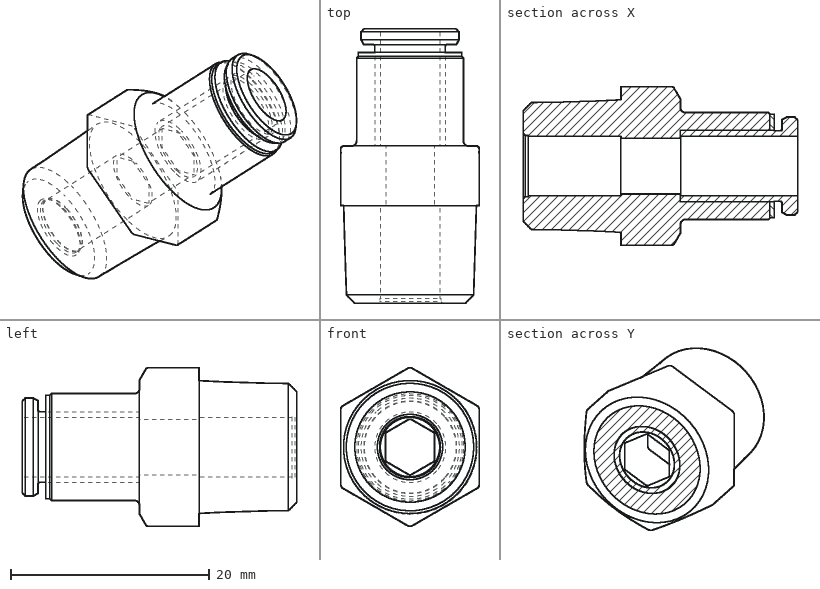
import cadquery as cq
import math

TOTAL_LENGTH = 27.72

HEX_ACROSS_FLATS = 14.0
HEX_FRONT_Y = 9.87
HEX_REAR_Y = 15.88
HEX_CORNER_RADIUS = 0.5
HEX_REAR_FACE_RADIUS = 6.75
HEX_CHAMFER_ANGLE = 30.0
HEX_CHAMFER_EDGE_RADIUS = 0.28
BOSS_RADIUS = 5.4
BOSS_END_Y = 24.92
BOSS_ROOT_RADIUS = 0.5
BOSS_END_CHAMFER = 0.17

THREAD_TIP_RADIUS = 6.43
THREAD_TIP_CHAMFER = 0.85
THREAD_RADIUS_SLOPE = 1 / 32

BORE_RADIUS = 3.0
BORE_LAND_RADIUS = 3.08
BORE_LAND_DEPTH = 0.5
BORE_MOUTH_CHAMFER = 0.22
KEY_ACROSS_FLATS = 4.93
KEY_CORNER_RADIUS = 0.3

RING_RADIUS = BOSS_RADIUS - BOSS_END_CHAMFER
RING_THICKNESS = 0.42

SLEEVE_STEM_RADIUS = 3.58
SLEEVE_FLANGE_RADIUS = 4.95
SLEEVE_FLANGE_THICKNESS = 1.6
FLANGE_END_CHAMFER = 0.33
FLANGE_UNDERSIDE_CHAMFER_HEIGHT = 0.5
FLANGE_UNDERSIDE_CHAMFER_WIDTH = 0.28
FLANGE_ROOT_RADIUS = 0.17


def plane_at(y):
    """Workplane across the axis at the given Y, extruding toward +Y."""
    return cq.Workplane("XZ", origin=(0, y, 0)).transformed(rotate=(180, 0, 0))


def cylinder(radius, start_y, end_y):
    """Solid round bar on the axis."""
    return plane_at(start_y).circle(radius).extrude(end_y - start_y)


def hex_prism(across_flats, corner_radius, start_y, end_y):
    """Hexagonal prism with corners at +Z and -Z and rounded long edges."""
    corner_diameter = across_flats / math.cos(math.radians(30))
    prism = plane_at(start_y).transformed(rotate=(0, 0, 90)).polygon(6, corner_diameter)
    return prism.extrude(end_y - start_y).edges("|Y").fillet(corner_radius)


def turned(points):
    """Solid of revolution about Y from (radius, Y) points."""
    return cq.Workplane("XY").polyline(points).close().revolve(360, (0, 0, 0), (0, 1, 0))


def make_hexagon():
    """Wrench hexagon with a turned rear chamfer whose edges are softened."""
    cone_base_radius = HEX_ACROSS_FLATS
    cone_drop = (cone_base_radius - HEX_REAR_FACE_RADIUS) * math.tan(math.radians(HEX_CHAMFER_ANGLE))
    chamfer_limit = turned([
        (0, 0),
        (cone_base_radius, 0),
        (cone_base_radius, HEX_REAR_Y - cone_drop),
        (HEX_REAR_FACE_RADIUS, HEX_REAR_Y),
        (0, HEX_REAR_Y),
    ])
    prism = hex_prism(HEX_ACROSS_FLATS, HEX_CORNER_RADIUS, HEX_FRONT_Y, HEX_REAR_Y)
    hexagon = prism.intersect(chamfer_limit)
    chamfer_edges = hexagon.faces("%CONE").edges("not %CIRCLE")
    return chamfer_edges.fillet(HEX_CHAMFER_EDGE_RADIUS)


def make_thread():
    """Plain cone of the taper thread with a chamfered tip."""
    base_radius = THREAD_TIP_RADIUS + (HEX_FRONT_Y - THREAD_TIP_CHAMFER) * THREAD_RADIUS_SLOPE
    return turned([
        (0, 0),
        (THREAD_TIP_RADIUS - THREAD_TIP_CHAMFER, 0),
        (THREAD_TIP_RADIUS, THREAD_TIP_CHAMFER),
        (base_radius, HEX_FRONT_Y),
        (0, HEX_FRONT_Y),
    ])


def make_boss():
    """Smooth barrel behind the hexagon, with a concave round at its root."""
    root_outer_radius = BOSS_RADIUS + BOSS_ROOT_RADIUS
    root_top_y = HEX_REAR_Y + BOSS_ROOT_RADIUS
    arc_offset = BOSS_ROOT_RADIUS * (1 - math.sqrt(0.5))
    return (
        cq.Workplane("XY")
        .moveTo(0, HEX_REAR_Y)
        .lineTo(root_outer_radius, HEX_REAR_Y)
        .threePointArc((BOSS_RADIUS + arc_offset, HEX_REAR_Y + arc_offset), (BOSS_RADIUS, root_top_y))
        .lineTo(BOSS_RADIUS, BOSS_END_Y - BOSS_END_CHAMFER)
        .lineTo(RING_RADIUS, BOSS_END_Y)
        .lineTo(0, BOSS_END_Y)
        .close()
        .revolve(360, (0, 0, 0), (0, 1, 0))
    )


def make_front_bore():
    """Thread-side bore with a chamfered mouth and a short, slightly wider land."""
    mouth_radius = BORE_LAND_RADIUS + BORE_MOUTH_CHAMFER
    return turned([
        (0, 0),
        (mouth_radius, 0),
        (BORE_LAND_RADIUS, BORE_MOUTH_CHAMFER),
        (BORE_LAND_RADIUS, BORE_LAND_DEPTH),
        (BORE_RADIUS, BORE_LAND_DEPTH),
        (BORE_RADIUS, HEX_FRONT_Y),
        (0, HEX_FRONT_Y),
    ])


def make_body():
    """Body with a front bore, a hexagonal key socket and a rear socket for the sleeve."""
    key_socket = hex_prism(KEY_ACROSS_FLATS, KEY_CORNER_RADIUS, HEX_FRONT_Y, HEX_REAR_Y)
    sleeve_socket = cylinder(SLEEVE_STEM_RADIUS, HEX_REAR_Y, BOSS_END_Y)
    outside = make_hexagon().union(make_thread()).union(make_boss())
    return outside.cut(make_front_bore()).cut(key_socket).cut(sleeve_socket)


def make_guide_ring():
    """Flat ring seated on the end of the boss, around the sleeve stem."""
    ring = plane_at(BOSS_END_Y).circle(RING_RADIUS).circle(SLEEVE_STEM_RADIUS)
    return ring.extrude(RING_THICKNESS)


def make_release_sleeve():
    """Flanged sleeve whose stem passes through the guide ring to the socket floor."""
    flange_y = TOTAL_LENGTH - SLEEVE_FLANGE_THICKNESS
    flange = turned([
        (0, flange_y),
        (SLEEVE_FLANGE_RADIUS - FLANGE_UNDERSIDE_CHAMFER_WIDTH, flange_y),
        (SLEEVE_FLANGE_RADIUS, flange_y + FLANGE_UNDERSIDE_CHAMFER_HEIGHT),
        (SLEEVE_FLANGE_RADIUS, TOTAL_LENGTH - FLANGE_END_CHAMFER),
        (SLEEVE_FLANGE_RADIUS - FLANGE_END_CHAMFER, TOTAL_LENGTH),
        (0, TOTAL_LENGTH),
    ])
    stem = cylinder(SLEEVE_STEM_RADIUS, HEX_REAR_Y, flange_y)
    stem_root = cq.selectors.RadiusNthSelector(0)
    sleeve = flange.union(stem).faces("|Y").faces("<Y[1]").edges(stem_root).fillet(FLANGE_ROOT_RADIUS)
    return sleeve.cut(cylinder(BORE_RADIUS, HEX_REAR_Y, TOTAL_LENGTH))


body = make_body()
guide_ring = make_guide_ring()
release_sleeve = make_release_sleeve()

result = cq.Compound.makeCompound([body.val(), guide_ring.val(), release_sleeve.val()])